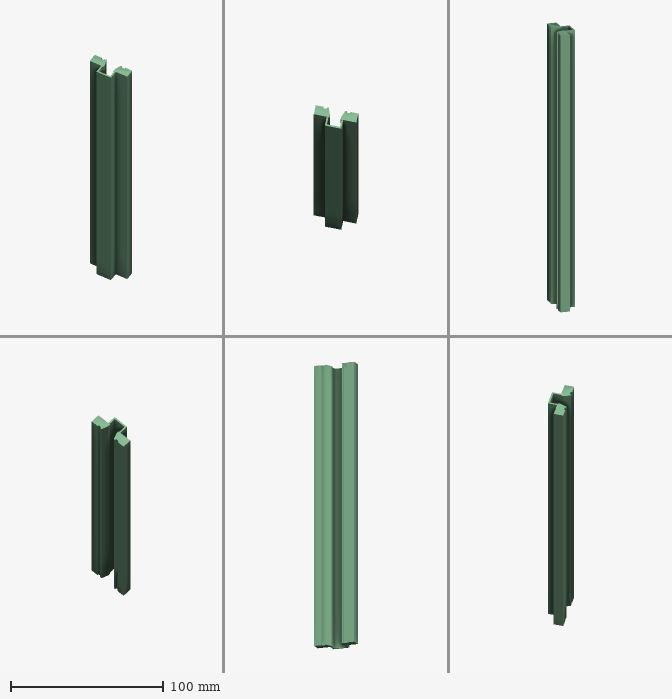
import cadquery as cq

length = 190.5
width = 28.5
depth = 12.8

channel_width = 11.0
wall = 1.1

flange_thickness = 6.5
throat_width = 7.6
mouth_width = 11.0
taper_depth = 4.5

groove_width = 2.3
groove_depth = 1.0
groove_offset = 7.8

back = depth / 2
front = -depth / 2
flange_front = back - flange_thickness


def flange_section(side):
    """Flange outline on one side: -1 for left, +1 for right."""
    outer = side * width / 2
    mouth = side * mouth_width / 2
    throat = side * throat_width / 2
    return [
        (outer, flange_front),
        (outer, back),
        (mouth, back),
        (throat, back - taper_depth),
        (throat, flange_front),
    ]


def make_channel():
    """U-shaped channel whose walls join the front faces of the flanges."""
    outer_x = channel_width / 2
    inner_x = outer_x - wall
    outline = [
        (-outer_x, flange_front),
        (-outer_x, front),
        (outer_x, front),
        (outer_x, flange_front),
        (inner_x, flange_front),
        (inner_x, front + wall),
        (-inner_x, front + wall),
        (-inner_x, flange_front),
    ]
    return cq.Workplane("XY").polyline(outline).close().extrude(length)


def make_flange(side):
    """One flange with its groove running the full length."""
    flange = cq.Workplane("XY").polyline(flange_section(side)).close().extrude(length)
    groove = (
        cq.Workplane("XY")
        .center(side * groove_offset, back - groove_depth / 2)
        .rect(groove_width, groove_depth)
        .extrude(length)
    )
    return flange.cut(groove)


result = make_channel()
for side in (-1, 1):
    result = result.union(make_flange(side))